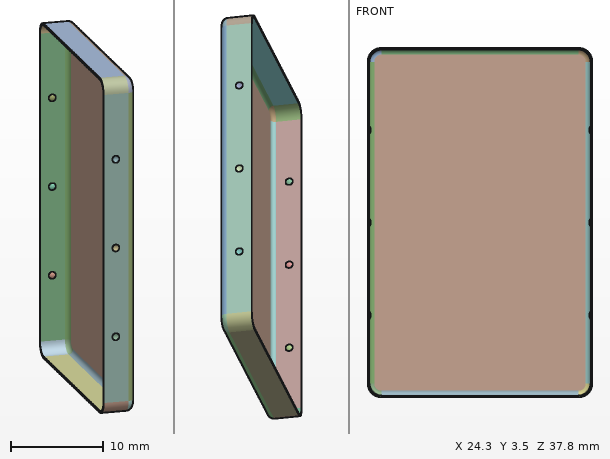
import cadquery as cq
import math

width = 24.3
depth = 3.5
height = 37.8
wall = 0.2
corner_radius = 1.5
floor_edge_radius = 0.7

dimple_radius = 0.397
dimple_depth = 0.15
dimple_spacing = 10.0
dimples_per_side = 3
dimple_from_rim = 1.35

rim_y = -depth / 2
dimple_y = rim_y + dimple_from_rim
sphere_radius = (dimple_radius**2 + dimple_depth**2) / (2 * dimple_depth)


def rounded_block(inset):
    """Tray envelope moved inwards by inset on every face but the open rim."""
    block = cq.Workplane("XY").box(width - 2 * inset, depth - inset, height - 2 * inset)
    block = block.translate((0, -inset / 2, 0))
    block = block.edges("|Y").fillet(corner_radius - inset)
    return block.faces(">Y").edges().fillet(floor_edge_radius - inset)


def dimple_cap(side, surface_x, z):
    """Spherical cap bulging inwards from the wall plane at side * surface_x."""
    tip_x = side * (surface_x - dimple_depth)
    base_x = side * surface_x
    half_angle = math.asin(dimple_radius / sphere_radius) / 2
    mid_x = tip_x + side * sphere_radius * (1 - math.cos(half_angle))
    mid_y = sphere_radius * math.sin(half_angle)
    profile = (
        cq.Workplane("XY")
        .moveTo(tip_x, 0)
        .threePointArc((mid_x, mid_y), (base_x, dimple_radius))
        .lineTo(base_x, 0)
        .close()
    )
    cap = profile.revolve(360, (0, 0, 0), (1, 0, 0))
    return cap.translate((0, dimple_y, z))


result = rounded_block(0).cut(rounded_block(wall))

for side in (-1, 1):
    for index in range(dimples_per_side):
        z = (index - (dimples_per_side - 1) / 2) * dimple_spacing
        result = result.union(dimple_cap(side, width / 2 - wall, z))
        result = result.cut(dimple_cap(side, width / 2, z))